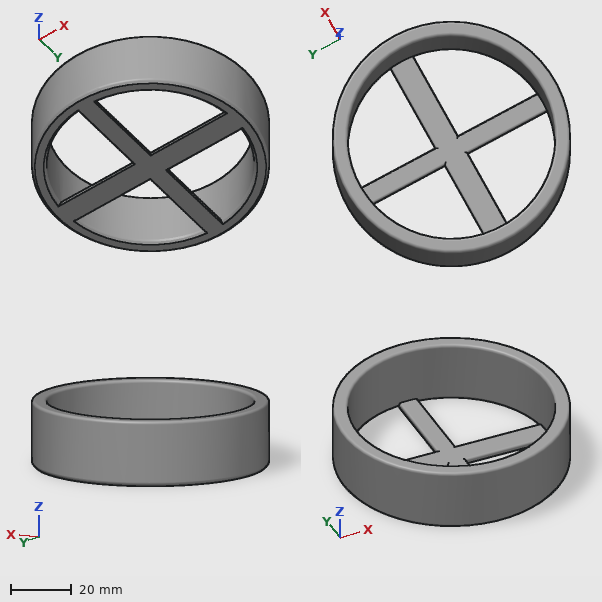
import cadquery as cq

outer_diameter = 78.5
bore_diameter = 68.5
ring_height = 22
rim_fillet = 1.0
bottom_chamfer = 1.0
chamfer_blend = 1.0

x_bar_width = 8.5
y_bar_width = 6.6
bar_thickness = 1.8
bar_edge_fillet = 0.7
end_embed = bottom_chamfer * 1.25

bore_radius = bore_diameter / 2
wall_thickness = (outer_diameter - bore_diameter) / 2


def make_ring():
    """Ring with rounded top edges and chamfers below that blend into the walls."""
    ring = cq.Workplane("XY").circle(outer_diameter / 2).circle(bore_radius).extrude(ring_height)
    ring = ring.faces(">Z").edges().fillet(rim_fillet)
    ring = ring.faces("<Z").edges().chamfer(bottom_chamfer)
    chamfer_tops = cq.selectors.BoxSelector(
        (-outer_diameter, -outer_diameter, bottom_chamfer / 2),
        (outer_diameter, outer_diameter, bottom_chamfer * 3 / 2),
    )
    return ring.edges("%CIRCLE").edges(chamfer_tops).fillet(chamfer_blend)


def make_cross():
    """Crossed bars with rounded upper edges, ending inside the ring wall."""
    bar_length = bore_diameter + wall_thickness
    x_bar = cq.Workplane("XY").rect(bar_length, x_bar_width).extrude(bar_thickness)
    y_bar = cq.Workplane("XY").rect(y_bar_width, bar_length).extrude(bar_thickness)
    cross = x_bar.union(y_bar).faces(">Z").edges().fillet(bar_edge_fillet)
    trim = cq.Workplane("XY").circle(bore_radius + end_embed).extrude(bar_thickness)
    return cross.intersect(trim)


result = make_ring().union(make_cross())